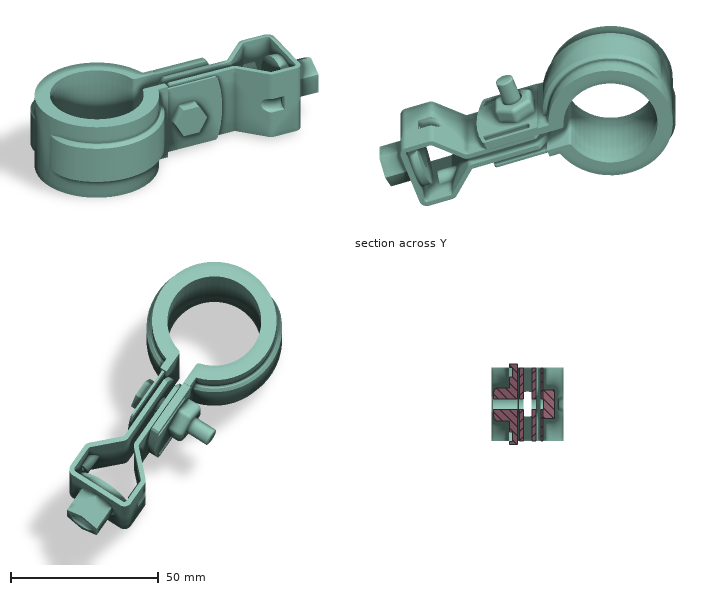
import cadquery as cq
import math


CORNERS_TO_Z = 30

BRACKET_WIDTH = 24.9

RING_WIDTH = 28.0
RING_RADIUS = 21.1
BORE_RADIUS = 15.9
SLOT_HALF_GAP = 3.5
SLOT_LIP_RADIUS = 1.0
EAR_OUTER_X = 6.0
EAR_TOP_Y = 24.0
BAND_RADIUS = 46.0 / 2
BAND_WIDTH = 15.2
BAND_CHAMFER = 1.0
BAND_TOE_RADIUS = 13.9

BOLT_Y = 31.3
BOLT_DIAMETER = 6.0
BOLT_TIP_DIAMETER = 4.9
BOLT_TIP_LENGTH = 0.3
BOLT_END_X = -19.9
BOLT_HEAD_FLATS = 10.2
BOLT_HEAD_HEIGHT = 4.0
CLEARANCE_DIAMETER = 7.0

PLATE_WIDTH = 27.4
PLATE_THICKNESS = 2.9
PLATE_TIP_Y = 45.9
PLATE_TIP_RADIUS = 41.8
PLATE_CORNER = 0.7
BOSS_FLATS = 13.0
BOSS_HEIGHT = 5.3
BOSS_ROUNDING = 1.5
POCKET_INNER_Z = 9.4
POCKET_OUTER_Z = 12.4
POCKET_START_Y = 26.9
POCKET_END_MARGIN = 1.2
POCKET_DEPTH = 1.0
POCKET_CORNER_RADIUS = 1.2

STRAP_INNER_X = 4.4
STRAP_THICKNESS = 0.8
STRAP_TIP_Y = 44.9

SHEET = 1.6
HEAD_HALF_WIDTH = 12.2
HEAD_TOP_Y = 71.9
SHOULDER_Y = 60.0
ARM_OUTER_X = 3.0
ARM_END_Y = 21.9
ARM_END_RADIUS = 19.5
BEND_RADIUS = 1.0
BEND_ANGLE = 45
TAB_TOP_Y = 64.9
TAB_GROOVE_RADIUS = 2.7
TAB_WALL = 1.5

NUT_FLATS = 12.1
NUT_TOP_Y = 80.9
NUT_FLANGE_DIAMETER = 20.0
NUT_FLANGE_THICKNESS = 3.2
NUT_BORE = 8.5
NUT_HOLE = 15.0


def x_plane(x):
    """Plane facing +X whose local axes are Y and Z."""
    return cq.Workplane("YZ", origin=(x, 0, 0))


def x_cylinder(diameter, start_x, end_x):
    """Cylinder along X on the bolt axis."""
    return x_plane(start_x).center(BOLT_Y, 0).circle(diameter / 2).extrude(end_x - start_x)


def arc_drop(radius, half_chord):
    """How far an arc falls from its crest at a given distance to the side."""
    return radius - math.sqrt(radius**2 - half_chord**2)


def corners_across(flats):
    """Corner-to-corner size of a hexagon."""
    return flats / math.cos(math.pi / 6)


def clear_bolt(body):
    """Drill the bolt clearance hole through everything along X."""
    return body.cut(x_cylinder(CLEARANCE_DIAMETER, -RING_RADIUS, RING_RADIUS))


def make_band():
    """Filled outline of the left raised band, ending in a toe tangent to the -Y side."""
    diagonal = math.sqrt(0.5)
    toe_x = -(BAND_RADIUS - BAND_TOE_RADIUS) * diagonal
    toe_y = toe_x - BAND_TOE_RADIUS
    toe_mid_angle = math.radians(225 + 45 / 2)
    toe_mid_x = toe_x + BAND_TOE_RADIUS * math.cos(toe_mid_angle)
    toe_mid_y = toe_x + BAND_TOE_RADIUS * math.sin(toe_mid_angle)
    ear_y = math.sqrt(BAND_RADIUS**2 - EAR_OUTER_X**2)
    return (
        cq.Workplane("XY", origin=(0, 0, -BAND_WIDTH / 2))
        .moveTo(-EAR_OUTER_X, ear_y)
        .threePointArc((-BAND_RADIUS, 0), (-BAND_RADIUS * diagonal, -BAND_RADIUS * diagonal))
        .threePointArc((toe_mid_x, toe_mid_y), (toe_x, toe_y))
        .lineTo(-SLOT_HALF_GAP, toe_y)
        .lineTo(-SLOT_HALF_GAP, ear_y)
        .close()
        .extrude(BAND_WIDTH)
        .faces("|Z")
        .edges("%CIRCLE")
        .chamfer(BAND_CHAMFER)
    )


def upright_block(half_width, depth):
    """Block centred on X and Z, rising from the pipe centre to the ear tops."""
    return cq.Workplane("XY").center(0, EAR_TOP_Y / 2).box(2 * half_width, EAR_TOP_Y, depth)


def make_ring():
    band = make_band()
    ears = upright_block(EAR_OUTER_X, RING_WIDTH)
    ring = (
        cq.Workplane("XY")
        .circle(RING_RADIUS)
        .extrude(RING_WIDTH / 2, both=True)
        .union(ears)
        .union(band)
        .union(band.mirror("YZ"))
    )
    bore = cq.Workplane("XY").circle(BORE_RADIUS).extrude(RING_WIDTH, both=True)
    slot = upright_block(SLOT_HALF_GAP, RING_WIDTH)
    lip_y = math.sqrt(BORE_RADIUS**2 - SLOT_HALF_GAP**2)
    ring = ring.cut(bore).cut(slot)
    for lip_x in (-SLOT_HALF_GAP, SLOT_HALF_GAP):
        lip = cq.selectors.NearestToPointSelector((lip_x, lip_y, 0))
        ring = ring.edges("|Z").edges(lip).fillet(SLOT_LIP_RADIUS)
    return ring


def tongue(start_x, thickness, tip_y, width):
    """Flat plate standing on an ear, with a crowned tip and clipped corners."""
    side = width / 2
    crown_z = side - PLATE_CORNER
    crown_y = tip_y - arc_drop(PLATE_TIP_RADIUS, crown_z)
    return (
        x_plane(start_x)
        .moveTo(EAR_TOP_Y, -side)
        .lineTo(crown_y - PLATE_CORNER, -side)
        .lineTo(crown_y, -crown_z)
        .threePointArc((tip_y, 0), (crown_y, crown_z))
        .lineTo(crown_y - PLATE_CORNER, side)
        .lineTo(EAR_TOP_Y, side)
        .close()
        .extrude(thickness)
    )


def make_pocket(face_x):
    """Pocket at +Z in the outer plate face; its far end follows the plate tip."""
    radius = PLATE_TIP_RADIUS - POCKET_END_MARGIN
    end_y = PLATE_TIP_Y - POCKET_END_MARGIN
    levels = (POCKET_INNER_Z, (POCKET_INNER_Z + POCKET_OUTER_Z) / 2, POCKET_OUTER_Z)
    inner_end, middle_end, outer_end = [(end_y - arc_drop(radius, z), z) for z in levels]
    return (
        x_plane(face_x)
        .moveTo(POCKET_START_Y, POCKET_INNER_Z)
        .lineTo(*inner_end)
        .threePointArc(middle_end, outer_end)
        .lineTo(POCKET_START_Y, POCKET_OUTER_Z)
        .close()
        .extrude(POCKET_DEPTH)
        .edges("|X and <Y and <Z")
        .fillet(POCKET_CORNER_RADIUS)
    )


def make_boss_plate():
    face_x = -SLOT_HALF_GAP - PLATE_THICKNESS
    plate = tongue(face_x, PLATE_THICKNESS, PLATE_TIP_Y, PLATE_WIDTH)
    pocket = make_pocket(face_x)
    plate = plate.cut(pocket).cut(pocket.mirror("XY"))
    boss = (
        x_plane(face_x - BOSS_HEIGHT)
        .center(BOLT_Y, 0)
        .transformed(rotate=(0, 0, CORNERS_TO_Z))
        .polygon(6, corners_across(BOSS_FLATS))
        .extrude(BOSS_HEIGHT)
        .edges("|X or <X")
        .fillet(BOSS_ROUNDING)
    )
    return clear_bolt(plate.union(boss))


def make_strap():
    return clear_bolt(tongue(STRAP_INNER_X, STRAP_THICKNESS, STRAP_TIP_Y, BRACKET_WIDTH))


def make_bolt():
    head_x = STRAP_INNER_X + STRAP_THICKNESS
    head = (
        x_plane(head_x)
        .center(BOLT_Y, 0)
        .polygon(6, corners_across(BOLT_HEAD_FLATS))
        .extrude(BOLT_HEAD_HEIGHT)
    )
    tip_inset = (BOLT_DIAMETER - BOLT_TIP_DIAMETER) / 2
    shank = x_cylinder(BOLT_DIAMETER, BOLT_END_X, head_x)
    shank = shank.faces("<X").chamfer(BOLT_TIP_LENGTH, tip_inset)
    return shank.union(head)


def bracket_fill(inset, end_y, head_radius, neck_radius):
    """Solid within the bracket's outline moved inward by an inset, down to an end height."""
    bend_shift = inset * math.tan(math.radians(BEND_ANGLE / 2))
    head_x = HEAD_HALF_WIDTH - inset
    arm_x = ARM_OUTER_X - inset
    top_y = HEAD_TOP_Y - inset
    shoulder_y = SHOULDER_Y + bend_shift
    neck_y = shoulder_y - (head_x - arm_x)
    right_side = [(arm_x, end_y), (arm_x, neck_y), (head_x, shoulder_y), (head_x, top_y)]
    left_side = [(-x, y) for x, y in reversed(right_side)]
    fill = cq.Workplane("XY").polyline(right_side + left_side).close()
    fill = fill.extrude(BRACKET_WIDTH / 2, both=True)
    bends = [
        (arm_x, neck_y, neck_radius),
        (head_x, shoulder_y, head_radius),
        (head_x, top_y, head_radius),
    ]
    for x, y, radius in bends:
        for bend_x in (-x, x):
            bend = cq.selectors.NearestToPointSelector((bend_x, y, 0))
            fill = fill.edges("|Z").edges(bend).fillet(radius)
    return fill


def y_cylinder(radius, x, start_y, end_y):
    """Cylinder along Y in the XY plane."""
    start = cq.Workplane("XZ", origin=(x, start_y, 0))
    return start.circle(radius).extrude(start_y - end_y)


def make_bracket():
    outer_radius = BEND_RADIUS + SHEET
    outer = bracket_fill(0, ARM_END_Y, outer_radius, BEND_RADIUS)
    inner = bracket_fill(SHEET, ARM_END_Y - SHEET, BEND_RADIUS, outer_radius)
    bracket = outer.cut(inner)

    neck_y = SHOULDER_Y - (HEAD_HALF_WIDTH - ARM_OUTER_X)
    for x in (-HEAD_HALF_WIDTH, HEAD_HALF_WIDTH):
        tab = y_cylinder(TAB_GROOVE_RADIUS + TAB_WALL, x, TAB_TOP_Y, neck_y).intersect(outer)
        groove = y_cylinder(TAB_GROOVE_RADIUS, x, TAB_TOP_Y, neck_y)
        bracket = bracket.union(tab).cut(groove)

    side = BRACKET_WIDTH / 2
    crown_y = ARM_END_Y + arc_drop(ARM_END_RADIUS, side)
    arm_envelope = (
        x_plane(-HEAD_HALF_WIDTH)
        .moveTo(HEAD_TOP_Y, -side)
        .lineTo(crown_y, -side)
        .threePointArc((ARM_END_Y, 0), (crown_y, side))
        .lineTo(HEAD_TOP_Y, side)
        .close()
        .extrude(2 * HEAD_HALF_WIDTH)
    )
    bracket = clear_bolt(bracket.intersect(arm_envelope))

    seat_y = HEAD_TOP_Y - SHEET
    nut_hole = y_cylinder(NUT_HOLE / 2, 0, HEAD_TOP_Y, seat_y)
    flange_relief = y_cylinder(NUT_FLANGE_DIAMETER / 2, 0, seat_y, seat_y - NUT_FLANGE_THICKNESS)
    return bracket.cut(nut_hole).cut(flange_relief)


def make_hanger_nut():
    seat_y = HEAD_TOP_Y - SHEET
    flange_y = seat_y - NUT_FLANGE_THICKNESS
    flange = y_cylinder(NUT_FLANGE_DIAMETER / 2, 0, seat_y, flange_y)
    hexagon = (
        cq.Workplane("XZ", origin=(0, NUT_TOP_Y, 0))
        .transformed(rotate=(0, 0, CORNERS_TO_Z))
        .polygon(6, corners_across(NUT_FLATS))
        .extrude(NUT_TOP_Y - seat_y)
    )
    return flange.union(hexagon).cut(y_cylinder(NUT_BORE / 2, 0, NUT_TOP_Y, flange_y))


ring = make_ring()
boss_plate = make_boss_plate()
strap = make_strap()
bolt = make_bolt()
bracket = make_bracket()
hanger_nut = make_hanger_nut()

result = cq.Compound.makeCompound(
    [ring.val(), boss_plate.val(), strap.val(), bolt.val(), bracket.val(), hanger_nut.val()]
)